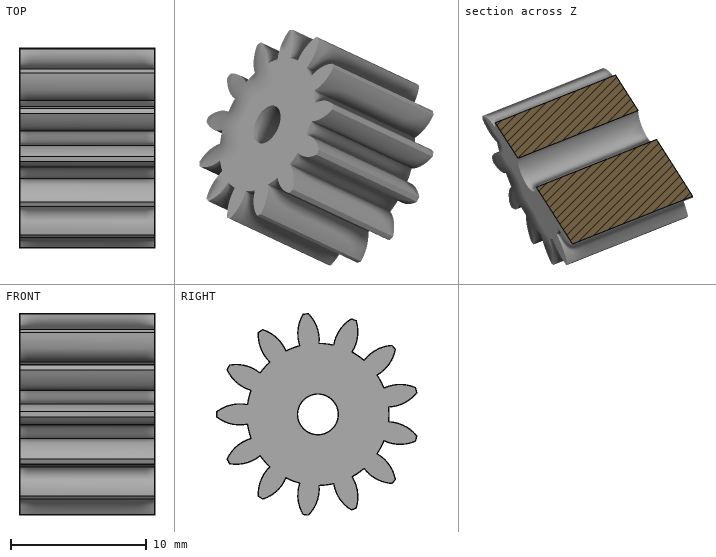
import cadquery as cq
import math

tooth_count = 13
face_width = 10.0
outer_radius = 7.5
root_radius = 5.27
bore_diameter = 3.0

root_half_thickness = 0.73
middle_half_thickness = 0.73
tip_half_thickness = 0.2
middle_radius = (root_radius + outer_radius) / 2

tooth_pitch = 360.0 / tooth_count
first_tooth_angle = 180.0
root_overlap = 0.5


def point_on_circle(radius, half_thickness):
    """Point at a given radius and distance from the tooth centreline."""
    return (math.sqrt(radius**2 - half_thickness**2), half_thickness)


def mirrored(point):
    """Matching point on the other flank of the tooth."""
    return (point[0], -point[1])


def make_tooth():
    """One tooth along the local +X of the gear plane, with bowed flanks and a round tip."""
    root = point_on_circle(root_radius, root_half_thickness)
    middle = point_on_circle(middle_radius, middle_half_thickness)
    tip = point_on_circle(outer_radius, tip_half_thickness)
    base = (root_radius - root_overlap, root_half_thickness)
    return (
        cq.Workplane("YZ")
        .moveTo(*base)
        .lineTo(*root)
        .threePointArc(middle, tip)
        .threePointArc((outer_radius, 0), mirrored(tip))
        .threePointArc(mirrored(middle), mirrored(root))
        .lineTo(*mirrored(base))
        .close()
        .extrude(face_width)
    )


def make_gear():
    """Spur gear with its axis along X and a plain through bore."""
    gear = cq.Workplane("YZ").circle(root_radius).extrude(face_width)
    tooth = make_tooth()
    for index in range(tooth_count):
        angle = first_tooth_angle + index * tooth_pitch
        gear = gear.union(tooth.rotate((0, 0, 0), (1, 0, 0), angle))
    bore = cq.Workplane("YZ").circle(bore_diameter / 2).extrude(face_width)
    return gear.cut(bore)


result = make_gear()